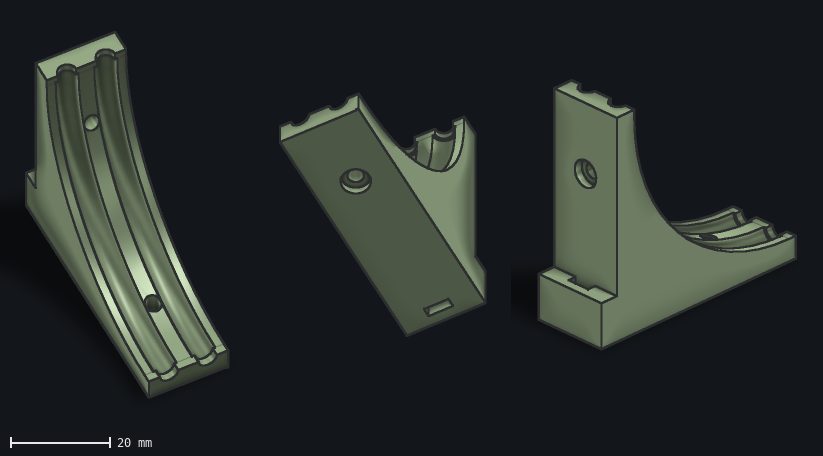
import cadquery as cq

length = 55.25
width = 17.9
height = 51.1
mid_y = width / 2

foot_depth = 4.4
foot_height = 10.5

arc_radius = 44.0
end_straight = 1.9
arc_center_x = length - end_straight
arc_center_z = height - end_straight
upright_face_x = arc_center_x - arc_radius
base_top_z = arc_center_z - arc_radius

groove_spacing = 8.7
groove_diameter = 5.15
end_groove_diameter = 4.05

hole_diameter = 3.4
counterbore_diameter = 6.1
counterbore_depth = 2.0
hole_corner_distance = 35.0
upright_hole_z = hole_corner_distance
base_hole_x = foot_depth + hole_corner_distance

slot_depth = 2.0
slot_width = 5.55

nib_length = 0.15
nib_width = 0.55
nib_height = 0.1


def make_body():
    diagonal = arc_radius / 2**0.5
    return (
        cq.Workplane("XZ")
        .polyline([(upright_face_x, arc_center_z), (upright_face_x, height), (foot_depth, height),
                   (foot_depth, foot_height), (0, foot_height), (0, 0), (length, 0),
                   (length, base_top_z), (arc_center_x, base_top_z)])
        .threePointArc((arc_center_x - diagonal, arc_center_z - diagonal),
                       (upright_face_x, arc_center_z))
        .close()
        .extrude(-width)
    )


def make_groove(y):
    """Quarter-torus groove on the arc with a narrower straight groove at each end."""
    curve = (
        cq.Workplane("XY", origin=(arc_center_x, y, arc_center_z))
        .center(-arc_radius, 0)
        .circle(groove_diameter / 2)
        .revolve(90, (arc_radius, 0, 0), (arc_radius, -1, 0))
    )
    upper_end = (
        cq.Workplane("XY", origin=(upright_face_x, y, arc_center_z))
        .circle(end_groove_diameter / 2)
        .extrude(end_straight)
    )
    lower_end = (
        cq.Workplane("YZ", origin=(arc_center_x, y, base_top_z))
        .circle(end_groove_diameter / 2)
        .extrude(end_straight)
    )
    return curve.union(upper_end).union(lower_end)


def make_screw_hole(plane, origin):
    """Through hole with its counterbore starting at the plane origin."""
    face = cq.Workplane(plane, origin=origin)
    bore = face.circle(hole_diameter / 2).extrude(arc_radius / 2)
    counterbore = face.circle(counterbore_diameter / 2).extrude(counterbore_depth)
    return bore.union(counterbore)


def make_slot():
    return cq.Workplane("XY").box(slot_depth, slot_width, foot_height, centered=False).translate(
        (foot_depth - slot_depth, mid_y - slot_width / 2, 0)
    )


def make_nib():
    return cq.Workplane("XY").box(nib_length, nib_width, nib_height, centered=False).translate(
        (length, width - nib_width, 0)
    )


result = make_body()
for side in (-1, 1):
    result = result.cut(make_groove(mid_y + side * groove_spacing / 2))
result = result.cut(make_screw_hole("YZ", (foot_depth, mid_y, upright_hole_z)))
result = result.cut(make_screw_hole("XY", (base_hole_x, mid_y, 0)))
result = result.cut(make_slot())
result = result.union(make_nib())